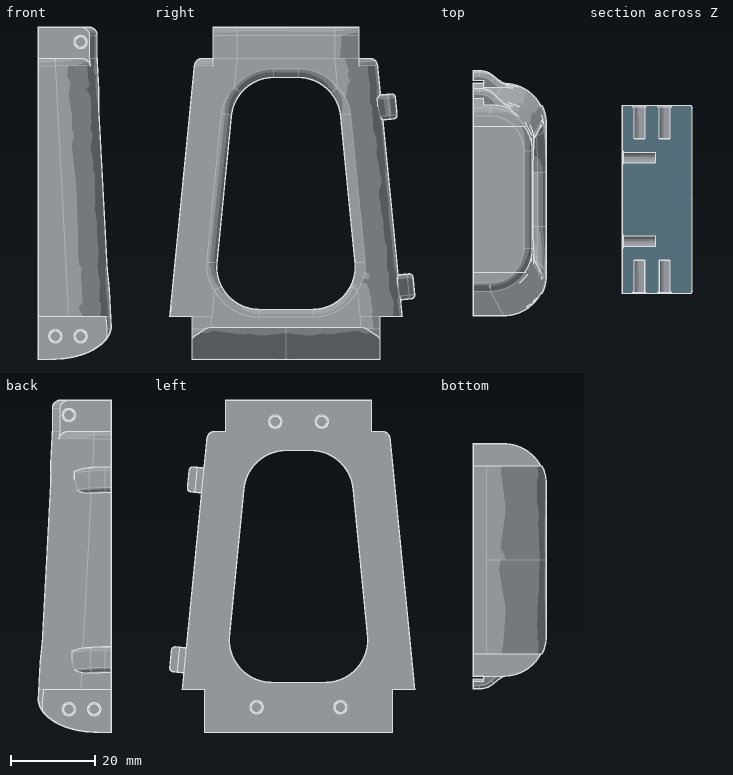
import cadquery as cq
import math

total_height = 79.0
shoulder_z = 71.6
ledge_z = 10.2
taper_start_z = 7.2

head_half_width = 17.4
foot_half_width = 22.35
frame_half_width = 27.65
side_slope = 0.0982
depth_bottom = 17.45
depth_shoulder = 14.1

corner_radius = 10.0
edge_radius = 2.0

underside_run = 14.2
underside_rise = 8.1

window_bottom_z = 11.9
window_top_z = 67.0
rail_width = 10.0
cut_margin = 3.95
touch_gap = 0.01

hole_diameter = 2.5
mouth_diameter = 3.15
mouth_depth = 0.3
hole_depth = 7.9
head_back_holes = (5.5, 73.9)
foot_back_holes = (9.95, 6.0)
head_side_hole = (10.1, 75.45)
foot_side_holes = [(4.1, 5.5), (10.1, 5.5)]

clip_centers_z = [17.15, 59.9]
clip_length = 6.0
clip_height = 3.5
clip_thickness = 1.9
slot_depth = 2.5
clip_flat = 1.6
clip_crest_radius = 5.0
clip_root_radius = 10.0
clip_edge_radius = 0.95
clip_embed = 0.8


def half_width(z):
    """Half width of the tapered frame at height z."""
    return frame_half_width - side_slope * (z - ledge_z)


def frame_depth(z):
    """Front face position of the tapered frame at height z."""
    share = (z - taper_start_z) / (shoulder_z - taper_start_z)
    return depth_bottom + share * (depth_shoulder - depth_bottom)


def plan_wire(workplane, z):
    """Flat-backed outline with rounded front corners at height z."""
    depth = frame_depth(z)
    side = half_width(z)
    flat_x = depth - corner_radius
    flat_y = side - corner_radius
    arc_offset = corner_radius * math.sqrt(0.5)
    return (
        workplane.moveTo(0, -side)
        .lineTo(flat_x, -side)
        .threePointArc((flat_x + arc_offset, -flat_y - arc_offset), (depth, -flat_y))
        .lineTo(depth, flat_y)
        .threePointArc((flat_x + arc_offset, flat_y + arc_offset), (flat_x, side))
        .lineTo(0, side)
        .close()
    )


def slab(half_y, bottom_z, top_z):
    """Block longer in X than the part, used to keep or trim a stretch of it."""
    size_x = 2 * (depth_bottom + cut_margin)
    return cq.Workplane("XY").box(size_x, 2 * half_y, top_z - bottom_z).translate(
        (0, 0, (bottom_z + top_z) / 2)
    )


def tapered_frame():
    """Solid that narrows from the foot to the shoulder, without its window."""
    lower = plan_wire(cq.Workplane("XY").workplane(offset=taper_start_z), taper_start_z)
    rise = shoulder_z - taper_start_z
    return plan_wire(lower.workplane(offset=rise), shoulder_z).loft(ruled=True, combine=True)


def frame_with_rounded_shoulders():
    """The shoulder edge is rounded only beside the head block."""
    sharp = tapered_frame()
    rounded = sharp.faces(">Z").edges("not <X").fillet(edge_radius)
    centre = slab(head_half_width, 0, total_height)
    frame = rounded.cut(centre).union(sharp.intersect(centre))
    return frame.intersect(slab(2 * frame_half_width, ledge_z, total_height))


def head_block():
    """Narrower block on the shoulder, with a rounded top front edge."""
    base = cq.Workplane("XY").workplane(offset=shoulder_z)
    block = plan_wire(base, shoulder_z).extrude(total_height - shoulder_z)
    block = block.faces(">Z").edges("not <X").fillet(edge_radius)
    return block.intersect(slab(head_half_width, 0, total_height))


def foot():
    """Narrower block below the ledge, with a rounded underside."""
    straight = plan_wire(cq.Workplane("XY"), taper_start_z).extrude(taper_start_z)
    block = straight.union(tapered_frame())
    block = block.intersect(slab(foot_half_width, 0, ledge_z))
    ellipse_x = depth_bottom - underside_run
    side_profile = (
        cq.Workplane("XZ")
        .lineTo(ellipse_x, 0)
        .ellipseArc(underside_run, underside_rise, 270, 360, startAtCurrent=True)
        .lineTo(depth_bottom, ledge_z)
        .lineTo(0, ledge_z)
        .close()
        .extrude(foot_half_width, both=True)
    )
    return block.intersect(side_profile)


def window():
    """Opening with rounded corners and sides parallel to the frame's sides."""
    bottom = half_width(window_bottom_z) - rail_width
    top = half_width(window_top_z) - rail_width
    corners = [
        (-bottom, window_bottom_z),
        (bottom, window_bottom_z),
        (top, window_top_z),
        (-top, window_top_z),
    ]
    opening = cq.Workplane("YZ").polyline(corners).close().extrude(depth_bottom + cut_margin)
    return opening.edges("|X").fillet(corner_radius)


def screw_hole(point, direction):
    """Blind hole with a slightly wider mouth."""
    start = cq.Vector(*point)
    axis = cq.Vector(*direction)
    bore = cq.Solid.makeCylinder(hole_diameter / 2, hole_depth, start, axis)
    mouth = cq.Solid.makeCylinder(mouth_diameter / 2, mouth_depth, start, axis)
    return cq.Workplane(bore).union(cq.Workplane(mouth))


def on_arc(center, radius, direction):
    """Point on a circle, in the given direction from its centre."""
    point = center + direction.normalized() * radius
    return (point.x, point.y)


def clip_profile(corner_x):
    """Clip section whose top sweeps down tangentially onto the frame's round corner."""
    crest = cq.Vector(clip_flat, clip_height - clip_crest_radius)
    corner = cq.Vector(corner_x, -corner_radius)
    gap = corner - crest
    to_root = clip_crest_radius + clip_root_radius
    to_corner = corner_radius + clip_root_radius
    cosine = (to_root**2 + gap.Length**2 - to_corner**2) / (2 * to_root * gap.Length)
    angle = math.atan2(gap.y, gap.x) + math.acos(cosine)
    root = crest + cq.Vector(math.cos(angle), math.sin(angle)) * to_root

    up = cq.Vector(0, 1)
    to_bend = (root - crest).normalized()
    to_contact = (corner - root).normalized()
    return (
        cq.Workplane("XY")
        .moveTo(0, clip_height)
        .lineTo(clip_flat, clip_height)
        .threePointArc(
            on_arc(crest, clip_crest_radius, up + to_bend),
            on_arc(crest, clip_crest_radius, to_bend),
        )
        .threePointArc(
            on_arc(root, clip_root_radius, to_contact - to_bend),
            on_arc(root, clip_root_radius, to_contact),
        )
        .lineTo(corner_x, -2 * clip_embed)
        .lineTo(slot_depth, -clip_embed)
        .lineTo(slot_depth, clip_height - clip_thickness)
        .lineTo(0, clip_height - clip_thickness)
        .close()
    )


def clip(z):
    """Clip with rounded top ends, set square to the sloping side wall."""
    profile = clip_profile(frame_depth(z) - corner_radius)
    body = profile.extrude(clip_length / 2, both=True)
    body = body.faces("|Z").edges("%CIRCLE or >Y").fillet(clip_edge_radius)
    wall = cq.Plane(origin=(0, half_width(z), z), xDir=(1, 0, 0), normal=(0, -side_slope, 1))
    return cq.Workplane(body.val().moved(cq.Location(wall)))


def round_window_rim(frame):
    """Round the window's edge on the front face."""
    opening = window().val()
    rim_edges = []
    for edge in frame.edges("not |X").vals():
        middle = edge.positionAt(0.5)
        to_opening = cq.Vertex.makeVertex(*middle.toTuple()).distance(opening)
        if middle.x > depth_bottom / 2 and to_opening < touch_gap:
            rim_edges.append(edge)
    return frame.newObject(rim_edges).fillet(edge_radius)


def drill(part, points, direction):
    """Cut the same screw hole at each point."""
    for point in points:
        part = part.cut(screw_hole(point, direction))
    return part


frame = frame_with_rounded_shoulders().union(head_block()).union(foot())
result = round_window_rim(frame.cut(window()))
for clip_z in clip_centers_z:
    result = result.union(clip(clip_z))

for half_spacing, hole_z in (head_back_holes, foot_back_holes):
    back_points = [(0, side * half_spacing, hole_z) for side in (-1, 1)]
    result = drill(result, back_points, (1, 0, 0))

for side in (-1, 1):
    inward = (0, -side, 0)
    head_points = [(head_side_hole[0], side * head_half_width, head_side_hole[1])]
    foot_points = [(x, side * foot_half_width, z) for x, z in foot_side_holes]
    result = drill(result, head_points + foot_points, inward)